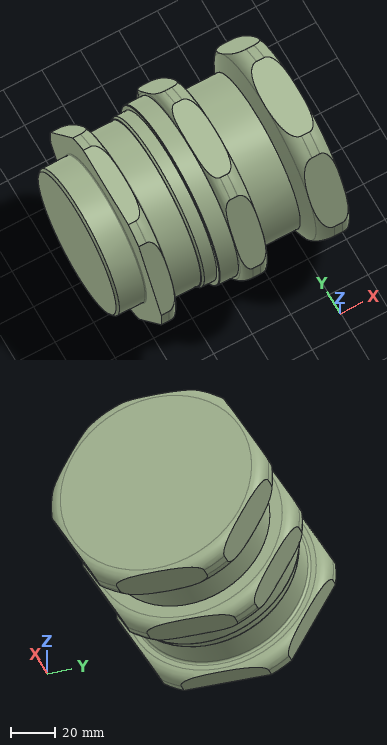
import cadquery as cq
import math

TOTAL_LENGTH = 115.0
ACROSS_FLATS = 95.0
CORNER_DIAMETER = 103.9
FLAT_RADIUS = ACROSS_FLATS / 2
CORNER_RADIUS = CORNER_DIAMETER / 2
CORNER_ROUND = 6.1

SPIGOT_RADIUS = 75.0 / 2
SPIGOT_CHAMFER = 1.2
SPIGOT_ROOT_FILLET = 0.5
ENTRY_HEX_START = 15.0
ENTRY_HEX_END = 25.0
BARREL_RADIUS = 84.5 / 2
BARREL_ROOT_FILLET = 1.2

RING_START = 40.7
RING_RADIUS = 87.0 / 2
RING_CHAMFER_LENGTH = 1.2
RING_CHAMFER_DEPTH = 0.7

FLANGE_START = 48.3
FLANGE_RADIUS = 92.2 / 2
FLANGE_CHAMFER = 0.3
MIDDLE_HEX_START = 58.1
MIDDLE_HEX_END = 72.4
MIDDLE_FRONT_ROUND = CORNER_RADIUS - FLAT_RADIUS

SLEEVE_RADIUS = 79.8 / 2
CAP_START = 93.7
CAP_CONE_LENGTH = 3.9


def revolve_about_x(profile):
    """Revolve a closed (x, radius) profile about the X axis."""
    return profile.close().revolve(360, (0, 0, 0), (1, 0, 0))


def quarter_arc_point(center_x, center_radius, size, side_x, side_radius):
    """Middle of a quarter arc; the sides give the quadrant as +1 or -1."""
    offset = size * math.sqrt(0.5)
    return (center_x + side_x * offset, center_radius + side_radius * offset)


def rounded_end(profile, end_x):
    """Continue a profile at corner radius to end_x, round its end and return to the axis."""
    arc_start = end_x - CORNER_ROUND
    arc_radius = CORNER_RADIUS - CORNER_ROUND
    return (
        profile.lineTo(arc_start, CORNER_RADIUS)
        .threePointArc(
            quarter_arc_point(arc_start, arc_radius, CORNER_ROUND, 1, 1),
            (end_x, arc_radius),
        )
        .lineTo(end_x, 0)
    )


def hexagonal(turned_blank, start_x, end_x):
    """Cut a turned blank to a hexagon with flats facing +Z and -Z."""
    prism = (
        cq.Workplane("YZ", origin=(start_x, 0, 0))
        .polygon(6, ACROSS_FLATS / math.cos(math.pi / 6))
        .extrude(end_x - start_x)
    )
    return turned_blank.intersect(prism)


def make_entry_body():
    spigot = revolve_about_x(
        cq.Workplane("XY")
        .moveTo(0, 0)
        .lineTo(0, SPIGOT_RADIUS - SPIGOT_CHAMFER)
        .lineTo(SPIGOT_CHAMFER, SPIGOT_RADIUS)
        .lineTo(ENTRY_HEX_START - SPIGOT_ROOT_FILLET, SPIGOT_RADIUS)
        .threePointArc(
            quarter_arc_point(
                ENTRY_HEX_START - SPIGOT_ROOT_FILLET,
                SPIGOT_RADIUS + SPIGOT_ROOT_FILLET,
                SPIGOT_ROOT_FILLET, 1, -1,
            ),
            (ENTRY_HEX_START, SPIGOT_RADIUS + SPIGOT_ROOT_FILLET),
        )
        .lineTo(ENTRY_HEX_START, 0)
    )
    blank = cq.Workplane("XY").moveTo(ENTRY_HEX_START, 0).lineTo(ENTRY_HEX_START, CORNER_RADIUS)
    blank = revolve_about_x(rounded_end(blank, ENTRY_HEX_END))
    barrel = revolve_about_x(
        cq.Workplane("XY")
        .moveTo(ENTRY_HEX_END, 0)
        .lineTo(ENTRY_HEX_END, BARREL_RADIUS + BARREL_ROOT_FILLET)
        .threePointArc(
            quarter_arc_point(
                ENTRY_HEX_END + BARREL_ROOT_FILLET,
                BARREL_RADIUS + BARREL_ROOT_FILLET,
                BARREL_ROOT_FILLET, -1, -1,
            ),
            (ENTRY_HEX_END + BARREL_ROOT_FILLET, BARREL_RADIUS),
        )
        .lineTo(RING_START, BARREL_RADIUS)
        .lineTo(RING_START, 0)
    )
    return hexagonal(blank, ENTRY_HEX_START, ENTRY_HEX_END).union(spigot).union(barrel)


def make_ring():
    return revolve_about_x(
        cq.Workplane("XY")
        .moveTo(RING_START, 0)
        .lineTo(RING_START, RING_RADIUS - RING_CHAMFER_DEPTH)
        .lineTo(RING_START + RING_CHAMFER_LENGTH, RING_RADIUS)
        .lineTo(FLANGE_START, RING_RADIUS)
        .lineTo(FLANGE_START, 0)
    )


def make_middle_nut():
    flange = (
        cq.Workplane("YZ", origin=(FLANGE_START, 0, 0))
        .circle(FLANGE_RADIUS)
        .extrude(MIDDLE_HEX_START - FLANGE_START)
        .faces("<X")
        .chamfer(FLANGE_CHAMFER)
    )
    front_arc_end = MIDDLE_HEX_START + MIDDLE_FRONT_ROUND
    blank = (
        cq.Workplane("XY")
        .moveTo(MIDDLE_HEX_START, 0)
        .lineTo(MIDDLE_HEX_START, FLAT_RADIUS)
        .threePointArc(
            quarter_arc_point(front_arc_end, FLAT_RADIUS, MIDDLE_FRONT_ROUND, -1, 1),
            (front_arc_end, CORNER_RADIUS),
        )
    )
    blank = revolve_about_x(rounded_end(blank, MIDDLE_HEX_END))
    return hexagonal(blank, MIDDLE_HEX_START, MIDDLE_HEX_END).union(flange)


def make_sleeve():
    return (
        cq.Workplane("YZ", origin=(MIDDLE_HEX_END, 0, 0))
        .circle(SLEEVE_RADIUS)
        .extrude(CAP_START - MIDDLE_HEX_END)
    )


def make_cap_nut():
    cone_end = CAP_START + CAP_CONE_LENGTH
    cone_angle = math.atan2(FLAT_RADIUS - SLEEVE_RADIUS, CAP_CONE_LENGTH)
    arc_size = (CORNER_RADIUS - FLAT_RADIUS) / (1 - math.cos(cone_angle))
    arc_end = cone_end + arc_size * math.sin(cone_angle)
    arc_middle = (
        arc_end - arc_size * math.sin(cone_angle / 2),
        CORNER_RADIUS - arc_size * (1 - math.cos(cone_angle / 2)),
    )
    blank = (
        cq.Workplane("XY")
        .moveTo(CAP_START, 0)
        .lineTo(CAP_START, SLEEVE_RADIUS)
        .lineTo(cone_end, FLAT_RADIUS)
        .threePointArc(arc_middle, (arc_end, CORNER_RADIUS))
    )
    blank = revolve_about_x(rounded_end(blank, TOTAL_LENGTH))
    return hexagonal(blank, CAP_START, TOTAL_LENGTH)


entry_body = make_entry_body()
ring = make_ring()
middle_nut = make_middle_nut()
sleeve = make_sleeve()
cap_nut = make_cap_nut()

result = cq.Compound.makeCompound(
    [body.solids().val() for body in (entry_body, ring, middle_nut, sleeve, cap_nut)]
)